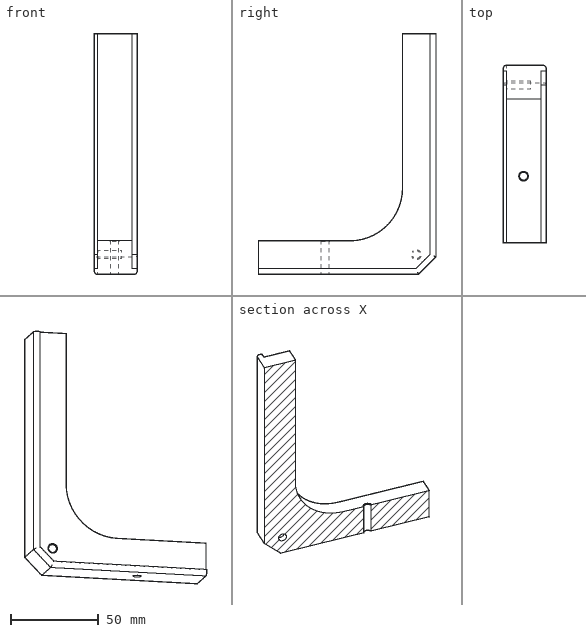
import cadquery as cq
import math

height = 137.6
foot_length = 101.6
arm_thickness = 19.3
inner_radius = 30.0
heel_chamfer = 10.0

total_width = 24.6
narrow_ledge = 1.8
wide_ledge = 3.2
body_width = total_width - narrow_ledge - wide_ledge
body_middle = narrow_ledge + body_width / 2

flange_thickness = 3.5
flange_round = 1.9

hole_diameter = 4.5
hole_mouth_diameter = 5.5
mouth_depth = (hole_mouth_diameter - hole_diameter) / 2
foot_hole_from_heel = 63.5
heel_hole_inset = 11.3
heel_hole_depth = 13.8


def heel_points(offset):
    """Heel corners, as (Y, Z), of the outer edge moved inward by offset."""
    corner = heel_chamfer + offset * math.tan(math.pi / 8)
    return (-offset, corner), (-corner, offset)


def make_body():
    """Full-depth L with a chamfered heel and a rounded inner corner."""
    upper_heel, lower_heel = heel_points(0)
    arc_end = arm_thickness + inner_radius
    arc_middle = arc_end - inner_radius * math.sqrt(0.5)
    return (
        cq.Workplane("YZ", origin=(narrow_ledge, 0, 0))
        .moveTo(0, height)
        .lineTo(*upper_heel)
        .lineTo(*lower_heel)
        .lineTo(-foot_length, 0)
        .lineTo(-foot_length, arm_thickness)
        .lineTo(-arc_end, arm_thickness)
        .threePointArc((-arc_middle, arc_middle), (-arm_thickness, arc_end))
        .lineTo(-arm_thickness, height)
        .close()
        .extrude(body_width)
    )


def make_flange():
    """Strip following the outer edge, with both outer long edges rounded."""
    upper_heel, lower_heel = heel_points(0)
    upper_inner, lower_inner = heel_points(flange_thickness)
    strip = (
        cq.Workplane("YZ")
        .moveTo(0, height)
        .lineTo(*upper_heel)
        .lineTo(*lower_heel)
        .lineTo(-foot_length, 0)
        .lineTo(-foot_length, flange_thickness)
        .lineTo(*lower_inner)
        .lineTo(*upper_inner)
        .lineTo(-flange_thickness, height)
        .close()
        .extrude(total_width)
    )
    back_edges = strip.faces(">Y").edges("|Z")
    bottom_edges = strip.faces("<Z").edges("|Y")
    heel_face = strip.faces(cq.selectors.DirectionMinMaxSelector(cq.Vector(0, 1, -1), True))
    heel_edges = heel_face.edges("not |X")
    return back_edges.add(bottom_edges).add(heel_edges).fillet(flange_round)


def make_hole(mouth_plane, depth):
    """Cutter for a hole with a 45 degree countersunk mouth, running against the plane's normal."""
    bore_radius = hole_diameter / 2
    mouth_radius = hole_mouth_diameter / 2
    bore = cq.Workplane(mouth_plane).circle(bore_radius).extrude(-depth)
    mouth = (
        cq.Workplane(mouth_plane)
        .circle(mouth_radius)
        .workplane(offset=-mouth_depth)
        .circle(bore_radius)
        .loft()
    )
    return bore.union(mouth)


foot_hole = make_hole(
    cq.Plane(origin=(body_middle, -foot_hole_from_heel, arm_thickness), normal=(0, 0, 1)),
    arm_thickness,
)

heel_hole = make_hole(
    cq.Plane(origin=(narrow_ledge, -heel_hole_inset, heel_hole_inset), normal=(-1, 0, 0)),
    heel_hole_depth,
)

result = make_body().union(make_flange()).cut(foot_hole).cut(heel_hole)